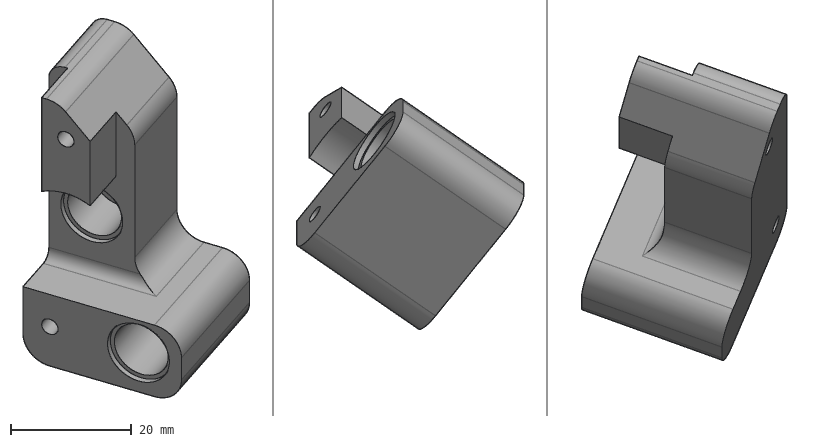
import cadquery as cq

height = 54.0
foot_length = 29.5
depth = 25.0

arm_width = 16.0
foot_height = 14.5
corner_radius = 5.0
top_left_radius = 3.0
bevel_start_x = 6.5

recess_depth = 9.5
recess_root_radius = 2.0

tab_width = 9.0
tab_clearance_radius = 10.0

hole_center_x = arm_width / 2
arm_bore = (hole_center_x, 26.05)
foot_bore = (21.5, 8.0)
bore_diameter = 10.0
bore_floor = 20.0
mouth_diameter = 11.5
mouth_depth = 1.0
arm_pin = (hole_center_x, 47.0)
foot_pin = (5.0, 8.0)
pin_diameter = 3.0


def prism(sketch_plane, length):
    """Extrude an XZ outline from its own plane towards +Y."""
    return sketch_plane.extrude(-length)


def y_edge_near(solid, x, z):
    """Select the Y-direction edge nearest to (x, z)."""
    return solid.edges(cq.selectors.NearestToPointSelector((x, depth / 2, z)))


def make_body():
    bevel_end_z = height - (arm_width - bevel_start_x)
    rounded_corners = [
        (0, 0),
        (foot_length, 0),
        (foot_length, foot_height),
        (arm_width, foot_height),
        (arm_width, bevel_end_z),
        (bevel_start_x, height),
    ]
    top_left = (0, height)
    outline = cq.Workplane("XZ").polyline(rounded_corners + [top_left]).close()
    body = prism(outline, depth)
    for x, z in rounded_corners:
        body = y_edge_near(body, x, z).fillet(corner_radius)
    return y_edge_near(body, *top_left).fillet(top_left_radius)


def make_recess():
    """Material removed in front of the arm, sparing the tab."""
    recess = (
        cq.Workplane("XY")
        .box(foot_length, recess_depth, height - foot_height, centered=False)
        .translate((0, 0, foot_height))
        .edges("|X and >Y and <Z")
        .fillet(recess_root_radius)
    )
    tab_bottom = arm_bore[1]
    tab = prism(
        cq.Workplane("XZ")
        .center(hole_center_x, (tab_bottom + height) / 2)
        .rect(tab_width, height - tab_bottom),
        recess_depth,
    )
    clearance = prism(cq.Workplane("XZ").center(*arm_bore).circle(tab_clearance_radius), recess_depth)
    return recess.cut(tab.cut(clearance))


def make_bore(center, face_y):
    """Blind bore with a shallow wider mouth, entering from the face at face_y."""
    plane = cq.Workplane("XZ", origin=(0, face_y, 0)).center(*center)
    bore = prism(plane.circle(bore_diameter / 2), bore_floor - face_y)
    mouth = prism(plane.circle(mouth_diameter / 2), mouth_depth)
    return bore.union(mouth)


result = make_body().cut(make_recess())
result = result.cut(make_bore(arm_bore, recess_depth))
result = result.cut(make_bore(foot_bore, 0))
for pin in (arm_pin, foot_pin):
    result = result.cut(prism(cq.Workplane("XZ").center(*pin).circle(pin_diameter / 2), depth))